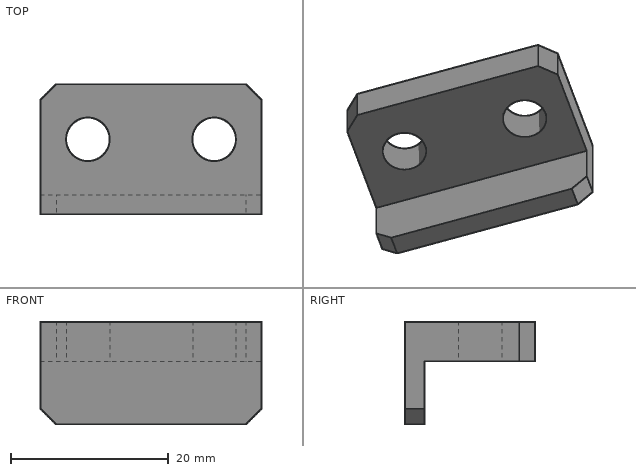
import cadquery as cq

width = 28.0
depth = 16.5
height = 13.0

plate_thickness = 5.0
wall_thickness = 2.5
corner_chamfer = 2.0

hole_diameter = 5.5
hole_spacing = 16.0
hole_to_back = 7.0


def make_plate():
    """Horizontal plate with its two back corners cut off."""
    plate = cq.Workplane("XY").box(width, depth, plate_thickness, centered=(True, False, False))
    plate = plate.translate((0, 0, height - plate_thickness))
    return plate.edges("|Z and >Y").chamfer(corner_chamfer)


def make_wall():
    """Front wall, full height, with its two bottom corners cut off."""
    wall = cq.Workplane("XY").box(width, wall_thickness, height, centered=(True, False, False))
    return wall.edges("|Y and <Z").chamfer(corner_chamfer)


def make_holes():
    """Pair of vertical cylinders that cut the mounting holes."""
    hole_y = depth - hole_to_back
    centers = [(side * hole_spacing / 2, hole_y) for side in (-1, 1)]
    return cq.Workplane("XY").pushPoints(centers).circle(hole_diameter / 2).extrude(height)


result = make_plate().union(make_wall()).cut(make_holes())